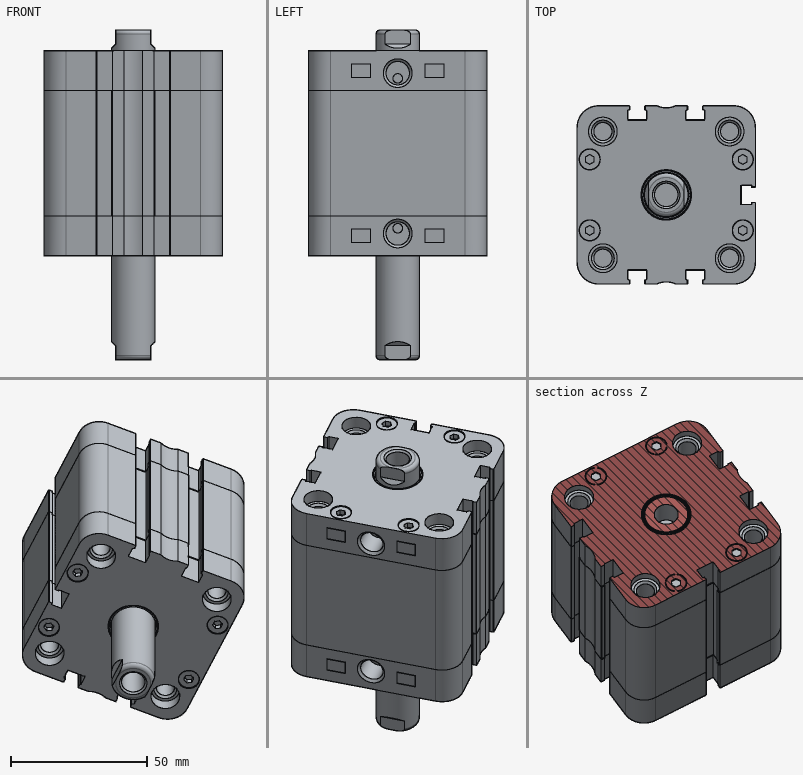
import cadquery as cq
import math

BLOCK_SIDE = 65.5
CORNER_RADIUS = 8.0
CAP_HEIGHT = 14.6
BARREL_LENGTH = 46.0
BARREL_BORE_DIA = 50.0

SLOT_OFFSET = 10.6
SLOT_INNER_WIDTH = 6.9
SLOT_OPENING_WIDTH = 5.5
SLOT_LIP_DEPTH = 1.5
SLOT_LIP_BEVEL = 0.4
SLOT_MOUTH_CHAMFER = 0.2
SLOT_DEPTH = 5.1
CAP_SLOT_RELIEF = 0.4

GROOVE_RADIUS = 8.0
GROOVE_WIDTH = 6.9

ROD_DIA = 16.0
ROD_TOP_STICKOUT = 7.6
ROD_LENGTH = 121.0
ROD_END_FILLET = 1.6
FLAT_ACROSS = 13.0
FLAT_LENGTH = 5.2
ROD_HOLE_DIA = 8.6
ROD_HOLE_MOUTH_DIA = 10.0
ROD_HOLE_DEPTH = 19.4

SCRAPER_RECESS_DIA = 18.0
SCRAPER_MOUTH_CHAMFER = 0.2
SCRAPER_OUTER_DIA = 17.7
SCRAPER_INNER_DIA = 16.6
SCRAPER_DEPTH = 2.4
SCRAPER_SETBACK = 0.4

MOUNT_SPACING = 46.5
MOUNT_COUNTERBORE_DIA = 10.5
MOUNT_COUNTERBORE_DEPTH = 5.0
MOUNT_MOUTH_DIA = 8.3
MOUNT_HOLE_DIA = 6.7

SCREW_SPACING_X = 56.1
SCREW_SPACING_Y = 26.0
SCREW_RECESS_DIA = 7.7
SCREW_HEAD_DIA = 7.5
SCREW_RECESS_DEPTH = 3.6
SCREW_SETBACK = 0.4
SOCKET_ACROSS_FLATS = 3.1
SOCKET_DEPTH = 2.0

PORT_FROM_FACE = 8.2
PORT_MOUTH_DIA = 10.5
PORT_DIA = 8.6
PORT_DEPTH = 9.7
AIRWAY_DIA = 3.5
AIRWAY_OFFSET = 1.9
AIRWAY_LENGTH = 4.8

LABEL_WIDTH = 7.0
LABEL_HEIGHT = 5.1
LABEL_DEPTH = 0.2
LABEL_OFFSET = 13.4
LABEL_FROM_FACE = 7.4

HALF_SIDE = BLOCK_SIDE / 2
BLOCK_HEIGHT = BARREL_LENGTH + 2 * CAP_HEIGHT
ROD_TOP = BLOCK_HEIGHT + ROD_TOP_STICKOUT
ROD_BOTTOM = ROD_TOP - ROD_LENGTH


def cylinder_z(diameter, z_low, z_high):
    """Cylinder on the Z axis between two heights."""
    return cq.Workplane("XY").workplane(offset=z_low).circle(diameter / 2).extrude(z_high - z_low)


def cone_z(low_dia, high_dia, z_low, z_high):
    """Truncated cone on the Z axis between two heights."""
    profile = [(0, z_low), (low_dia / 2, z_low), (high_dia / 2, z_high), (0, z_high)]
    return cq.Workplane("XZ").polyline(profile).close().revolve(360, (0, 0, 0), (0, 1, 0))


def slot_cutter(height, relief, bevel):
    """Undercut slot at x = 0 that opens through the +Y side; the +X lip and the floor take the relief."""
    lip_left = -SLOT_OPENING_WIDTH / 2
    lip_right = SLOT_OPENING_WIDTH / 2 + relief
    mouth_right = SLOT_OPENING_WIDTH / 2 + max(relief, SLOT_MOUTH_CHAMFER)
    inner = SLOT_INNER_WIDTH / 2
    lip_y = HALF_SIDE - SLOT_LIP_DEPTH
    floor_y = HALF_SIDE - SLOT_DEPTH - relief
    outline = [
        (lip_left - SLOT_MOUTH_CHAMFER, HALF_SIDE),
        (lip_left, HALF_SIDE - SLOT_MOUTH_CHAMFER),
        (lip_left, lip_y),
        (-inner, lip_y - bevel),
        (-inner, floor_y),
        (inner, floor_y),
        (inner, lip_y - bevel),
        (lip_right, lip_y),
        (lip_right, HALF_SIDE - SLOT_MOUTH_CHAMFER),
        (mouth_right, HALF_SIDE),
    ]
    return cq.Workplane("XY").polyline(outline).close().extrude(height)


def block_section(height, slot_relief):
    """Rounded square prism on z = 0 with its slots and grooves."""
    block = cq.Workplane("XY").rect(BLOCK_SIDE, BLOCK_SIDE).extrude(height)
    block = block.edges("|Z").fillet(CORNER_RADIUS)

    slot = slot_cutter(height, slot_relief, SLOT_LIP_BEVEL).translate((-SLOT_OFFSET, 0, 0))
    groove_centre = HALF_SIDE + math.sqrt(GROOVE_RADIUS**2 - (GROOVE_WIDTH / 2) ** 2)
    groove = cq.Workplane("XY").center(0, groove_centre).circle(GROOVE_RADIUS).extrude(height)
    for cutter in (slot, slot.mirror("YZ"), groove):
        block = block.cut(cutter).cut(cutter.mirror("XZ"))

    side_slot = slot_cutter(height, slot_relief, 0).mirror("YZ")
    return block.cut(side_slot.rotate((0, 0, 0), (0, 0, 1), -90))


def make_barrel():
    barrel = block_section(BARREL_LENGTH, 0).cut(cylinder_z(BARREL_BORE_DIA, 0, BARREL_LENGTH))
    return barrel.translate((0, 0, CAP_HEIGHT))


def rod_opening():
    """Bearing bore and the recess around the scraper lip."""
    floor = CAP_HEIGHT - SCRAPER_DEPTH
    lip = cylinder_z(SCRAPER_OUTER_DIA, floor, CAP_HEIGHT - SCRAPER_SETBACK)
    lip = lip.cut(cylinder_z(SCRAPER_INNER_DIA, floor, CAP_HEIGHT))
    recess = cylinder_z(SCRAPER_RECESS_DIA, floor, CAP_HEIGHT).cut(lip)
    mouth_dia = SCRAPER_RECESS_DIA + 2 * SCRAPER_MOUTH_CHAMFER
    mouth = cone_z(SCRAPER_RECESS_DIA, mouth_dia, CAP_HEIGHT - SCRAPER_MOUTH_CHAMFER, CAP_HEIGHT)
    return recess.union(mouth).union(cylinder_z(ROD_DIA, 0, CAP_HEIGHT))


def mounting_hole():
    """Counterbored hole with a countersunk mouth, through the cap."""
    ledge = CAP_HEIGHT - MOUNT_COUNTERBORE_DEPTH
    mouth_bottom = ledge - (MOUNT_MOUTH_DIA - MOUNT_HOLE_DIA) / 2
    hole = cylinder_z(MOUNT_HOLE_DIA, 0, ledge)
    hole = hole.union(cone_z(MOUNT_HOLE_DIA, MOUNT_MOUTH_DIA, mouth_bottom, ledge))
    return hole.union(cylinder_z(MOUNT_COUNTERBORE_DIA, ledge, CAP_HEIGHT))


def screw_recess():
    """Recess that leaves a screw head with a hexagon socket, two corners on the Y line."""
    floor = CAP_HEIGHT - SCREW_RECESS_DEPTH
    head_top = CAP_HEIGHT - SCREW_SETBACK
    socket_dia = SOCKET_ACROSS_FLATS / math.cos(math.pi / 6)
    socket = cq.Workplane("XY").polygon(6, socket_dia).extrude(-SOCKET_DEPTH)
    socket = socket.rotate((0, 0, 0), (0, 0, 1), 90).translate((0, 0, head_top))
    head = cylinder_z(SCREW_HEAD_DIA, floor, head_top).cut(socket)
    return cylinder_z(SCREW_RECESS_DIA, floor, CAP_HEIGHT).cut(head)


def port_cutter():
    """Blind air port with a countersunk mouth and a small airway in its floor."""
    mouth_depth = (PORT_MOUTH_DIA - PORT_DIA) / 2
    port = cylinder_z(PORT_DIA, 0, PORT_DEPTH)
    port = port.union(cone_z(PORT_MOUTH_DIA, PORT_DIA, 0, mouth_depth))
    airway = cylinder_z(AIRWAY_DIA, 0, PORT_DEPTH + AIRWAY_LENGTH).translate((AIRWAY_OFFSET, 0, 0))
    port = port.union(airway).rotate((0, 0, 0), (0, 1, 0), 90)
    return port.translate((-HALF_SIDE, 0, CAP_HEIGHT - PORT_FROM_FACE))


def make_cap():
    cap = block_section(CAP_HEIGHT, CAP_SLOT_RELIEF).cut(rod_opening()).cut(port_cutter())
    label = cq.Workplane("XY").box(2 * LABEL_DEPTH, LABEL_WIDTH, LABEL_HEIGHT)
    mount = mounting_hole()
    screw = screw_recess()
    for side_y in (-1, 1):
        cap = cap.cut(label.translate((-HALF_SIDE, side_y * LABEL_OFFSET, CAP_HEIGHT - LABEL_FROM_FACE)))
        for side_x in (-1, 1):
            cap = cap.cut(mount.translate((side_x * MOUNT_SPACING / 2, side_y * MOUNT_SPACING / 2, 0)))
            cap = cap.cut(screw.translate((side_x * SCREW_SPACING_X / 2, side_y * SCREW_SPACING_Y / 2, 0)))
    return cap


def make_caps():
    """Upper cap and its mirror image at the lower end."""
    cap = make_cap()
    upper_cap = cap.translate((0, 0, CAP_HEIGHT + BARREL_LENGTH))
    lower_cap = cap.mirror("XY").translate((0, 0, CAP_HEIGHT))
    return [upper_cap, lower_cap]


def rod_end_cutter():
    """Two wrench flats with sloped shoulders and a countersunk blind hole, for an end at z = 0."""
    half_flat = FLAT_ACROSS / 2
    outside = ROD_DIA
    profile = [
        (half_flat, 0),
        (half_flat, -FLAT_LENGTH),
        (outside, -FLAT_LENGTH - (outside - half_flat)),
        (outside, 0),
    ]
    flat = cq.Workplane("XZ").polyline(profile).close().extrude(ROD_DIA / 2, both=True)
    mouth_depth = (ROD_HOLE_MOUTH_DIA - ROD_HOLE_DIA) / 2
    hole = cylinder_z(ROD_HOLE_DIA, -ROD_HOLE_DEPTH, 0)
    hole = hole.union(cone_z(ROD_HOLE_DIA, ROD_HOLE_MOUTH_DIA, -mouth_depth, 0))
    return flat.union(flat.mirror("YZ")).union(hole)


def make_rod():
    rod = cylinder_z(ROD_DIA, ROD_BOTTOM, ROD_TOP)
    rod = rod.faces("<Z or >Z").edges().fillet(ROD_END_FILLET)
    end = rod_end_cutter()
    rod = rod.cut(end.translate((0, 0, ROD_TOP)))
    return rod.cut(end.mirror("XY").translate((0, 0, ROD_BOTTOM)))


barrel = make_barrel()
caps = make_caps()
rod = make_rod()
result = cq.Compound.makeCompound([barrel.val(), *[cap.val() for cap in caps], rod.val()])